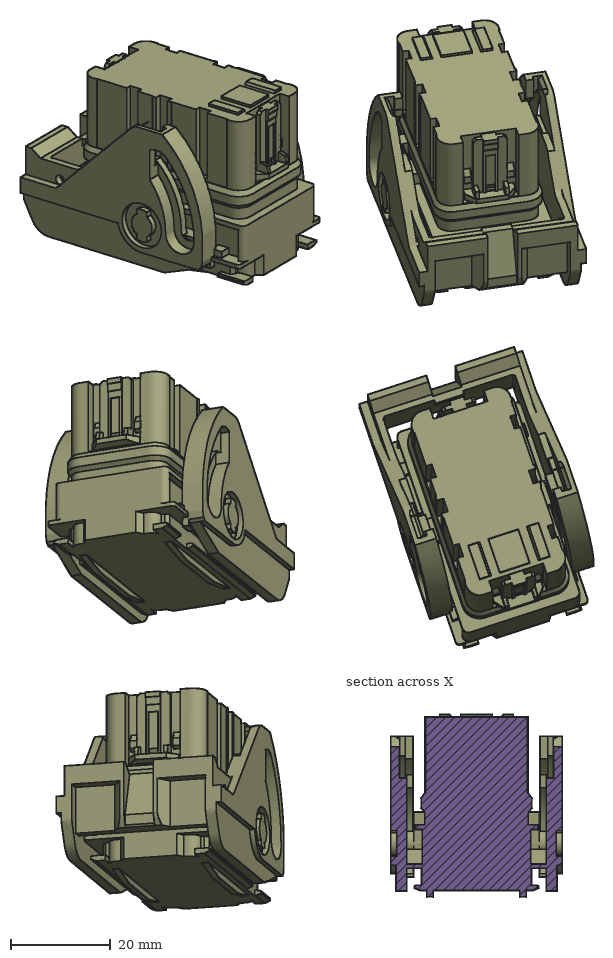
import cadquery as cq
import math


length = 51.75
total_width = 34.4
half_width = total_width / 2
height = 36.6

base_left = 8.3
base_mid_x = (base_left + length) / 2
base_length = length - base_left
base_half_width = 12.3
base_corner = 1.25
base_top = 14.55
rim_depth = 1.05
wall_recess_depth = 1.45
wall_recess_margin = 1.45
ledge_half_width = 13.9
ledge_top = 6.7
ledge_bottom = 5.8
ledge_corner = 0.8
guard_span = 33.75
guard_length = 2.5
guard_half_width = 13.2
guard_top = 8.05
cheek_inner_y = 10.35
cheek_left = 26.35
cheek_right = 41.4
cheek_slope = 0.9
cheek_top = 9.6
skirt_length = 40.55
skirt_half_width = 9.5
skirt_corner = 2.1
skirt_side_length = 36.35
skirt_side_half_width = 11.0
skirt_side_chamfer = 0.8
skirt_end_root_half_width = 6.55
skirt_end_half_width = 5.55
skirt_bottom = 1.35
lip_half_width = 12.4
lip_root_y = 9.3
lip_foot_y = 11.3
lip_tip_bottom = 1.8
lip_tip_top = 2.2
lip_tip_bevel = 0.35
lip_top = 2.45
lip_gap_left = 39.1
lip_gap_right = 45.2
rib_inner_y = 8.65
rib_thickness = 1.35
rib_top = 1.25
rib_span = 28.7
rib_flat = 13.7
stop_length = 4.95
stop_half_width = 12.6
stop_top = 17.1

housing_length = 39.65
housing_half_width = 10.4
housing_corner = 2.85
housing_bottom = 20.85
housing_top = 36.05
housing_left = base_mid_x - housing_length / 2
side_relief = 0.18
relief_inner = 2.35
relief_outer = 16.05
collar_overhang = 0.7
collar_top = 19.8
collar_bottom = 17.85
neck_top = 16.95
groove_floor = 21.5
groove_depth = 1.4
groove_width = 2.7
center_groove_width = 2.8
front_groove_centers = (22.55, 39.75)
back_groove_centers = (18.2, 41.9)

pad_left = 39.45
pad_length = 7.25
pad_half_width = 3.15
side_pad_inner = 4.95
side_pad_outer = 7.4
pad_bevel = 0.4

pocket_half_width = 5.7
pocket_depth = 2.3
pocket_floor = 21.05
tongue_half_width = 3.45
tongue_front = 10.7
tongue_thickness = 0.95
tongue_top = 35.85
tongue_corner = 0.6
spine_half_width = 1.5
spine_front = 10.0
spine_bottom = 22.75
spine_slot_half_width = 1.0
spine_slot_top = 31.85
spine_undercut_depth = 0.8
spine_undercut_bottom = 23.05
spine_undercut_top = 24.3
spine_step_levels = (33.3, 34.85)
spine_step = 0.2
cradle_front = 8.6
cradle_post_front = 8.95
cradle_post_inner = 2.7
cradle_floor = 22.75
cradle_shoulder = 24.3
cradle_top = 24.7
cradle_root_x = 10.9
cradle_root_half_width = 5.2
cradle_nose_half_width = 3.25
cradle_underside = 21.35
cradle_nose_bottom = 21.75
bracket_inner = 3.75
bracket_outer = 5.2
bracket_front = 11.55
bracket_top = 27.8
bracket_shoulder = 26.4
bracket_chin = 24.85
bracket_bottom = 24.3

bar_depth = 4.95
bar_bottom = 5.9
bar_rim_top = 19.25
bar_rim_depth = 1.4
bar_top = 17.65
bar_slope_end = 3.75
finger_outer = 13.95
finger_wall = 5.75
finger_mouth = 3.9
finger_depth = 2.85
finger_top = 15.35
notch_half_width = 3.05
notch_toe_x = 0.8
notch_toe_top = 8.5
notch_toe_bottom = 6.35
notch_crest_x = 4.15
tab_reach = 5.7
tab_thickness = 1.55
bar_heel_x = 1.05
bar_corner = 0.4

plate_inner_y = 13.9
channel_outer_y = 15.35
arm_wall_outer_y = 15.45
lower_plate_outer_y = 16.15
guide_inner_y = 12.7
guide_ledge_y = 14.3
arm_top = 13.1
arm_bottom = 9.6
lever_top = 32.25
lever_right = 45.0
lever_bottom = 4.7
pivot_x = base_mid_x
pivot_z = 10.7
pivot_recess_diameter = 9.7
pivot_recess_depth = 1.25
pivot_pin_diameter = 5.05
pivot_key_width = 2.55
pivot_key_length = 7.05
pivot_skirt_radius = 6.0
peg_hole_diameter = 2.0
peg_hole_x = 8.5
peg_hole_z = 14.2
channel_left = 25.0
channel_floor = 23.9
channel_right = 33.95
channel_bevel = 0.85
channel_bevel_left = 27.95

ramp_foot_start = (8.45, arm_top)
ramp_foot_mid = (8.85, 13.25)
ramp_foot_end = (9.15, 13.5)
crest_start = (27.15, 31.4)
crest_mid = (28.15, 32.05)
crest_end = (29.35, lever_top)
nose_start = (35.1, lever_top)
nose_mid = (40.95, 25.45)
nose_end = (lever_right, 12.7)
nose_bottom = (lever_right, ledge_top)
toe_corner = (44.6, 5.3)
toe_end = (44.0, lever_bottom)

chin_start = (0, 8.35)
chin_mid = (0.1, 7.8)
chin_end = (0.3, 7.3)
heel_start = (2.15, 3.8)
heel_mid = (3.8, 2.0)
heel_end = (6.2, rib_top)
sole_end = (34.9, rib_top)

wall_round_start = (11.95, bar_top)
wall_round_mid = (13.3, 17.9)
wall_round_end = (14.45, 18.7)

slot_center_x = 19.25
slot_center_z = 10.65
slot_radius = 20.2
slot_half_width = 1.75
slot_recess_half_width = 3.5
slot_end_angle = 44.6
through_end_angle = 60.0
slot_left = 32.0
guide_rim_radius = 14.35
guide_left = 28.1
guide_hook_left = 33.0
guide_floor = 24.55
shelf_left = 19.65
shelf_round_mid = (20.35, 24.4)
shelf_round_end = 21.1
foot_left = 41.4
foot_right = 44.6
foot_inner_y = 12.5
foot_bottom = 4.05


def box(x0, x1, y0, y1, z0, z1):
    """Block between two corners."""
    return cq.Workplane("XY").box(x1 - x0, y1 - y0, z1 - z0, centered=False).translate((x0, y0, z0))


def rounded_block(size_x, half_y, corner, z0, z1):
    """Block centred on the base with rounded vertical edges."""
    block = box(base_mid_x - size_x / 2, base_mid_x + size_x / 2, -half_y, half_y, z0, z1)
    return block.edges("|Z").fillet(corner)


def side_plane(outer_y):
    """X-Z sketch plane at outer_y; extruding goes toward -Y."""
    return cq.Workplane("XZ", origin=(0, outer_y, 0))


def side_prism(points, y0, y1):
    """Polygon in X-Z filling y0 to y1."""
    return side_plane(y1).polyline(points).close().extrude(y1 - y0)


def side_disc(x, z, diameter, y0, y1):
    return side_plane(y1).center(x, z).circle(diameter / 2).extrude(y1 - y0)


def both_sides(solid):
    """The solid together with its mirror image across Y = 0."""
    return solid.union(solid.mirror("XZ"))


def both_ends(solid):
    """The solid together with its mirror image across the middle of the base."""
    return solid.union(solid.mirror("YZ", (base_mid_x, 0, 0)))


def make_skirt():
    skirt = rounded_block(skirt_length, skirt_half_width, skirt_corner, skirt_bottom, ledge_top)
    side_left = base_mid_x - skirt_side_length / 2
    side_right = base_mid_x + skirt_side_length / 2
    sides = box(
        side_left, side_right, -skirt_side_half_width, skirt_side_half_width, skirt_bottom, ledge_top
    )
    end_plan = [
        (base_mid_x, -skirt_end_root_half_width),
        (base_mid_x + skirt_length / 2, -skirt_end_root_half_width),
        (length, -skirt_end_half_width),
        (length, skirt_end_half_width),
        (base_mid_x + skirt_length / 2, skirt_end_root_half_width),
        (base_mid_x, skirt_end_root_half_width),
    ]
    end = cq.Workplane("XY", origin=(0, 0, skirt_bottom)).polyline(end_plan).close()
    end = end.extrude(ledge_top - skirt_bottom)
    return skirt.union(sides.edges("|Z").chamfer(skirt_side_chamfer)).union(both_ends(end))


def make_lip():
    """Flared strip along the foot of the skirt, interrupted by one gap."""
    outline = [
        (lip_root_y, skirt_bottom),
        (lip_foot_y, skirt_bottom),
        (lip_half_width, lip_tip_bottom),
        (lip_half_width, lip_tip_top),
        (lip_half_width - lip_tip_bevel, lip_top),
        (lip_root_y, lip_top),
    ]
    lip = cq.Workplane("YZ", origin=(base_left, 0, 0)).polyline(outline).close().extrude(base_length)
    gap = box(lip_gap_left, lip_gap_right, skirt_side_half_width, lip_half_width, skirt_bottom, lip_top)
    return lip.cut(gap)


def make_cheek():
    """Low pad beside the pivot with a sloped left end."""
    outline = [
        (cheek_left, ledge_top),
        (cheek_left + cheek_slope, cheek_top),
        (cheek_right, cheek_top),
        (cheek_right, ledge_bottom),
        (cheek_left, ledge_bottom),
    ]
    return side_prism(outline, cheek_inner_y, ledge_half_width)


def make_bottom_rib():
    outline = [
        (base_mid_x - rib_span / 2, rib_top),
        (base_mid_x - rib_flat / 2, 0),
        (base_mid_x + rib_flat / 2, 0),
        (base_mid_x + rib_span / 2, rib_top),
        (base_mid_x + rib_span / 2, lip_top),
        (base_mid_x - rib_span / 2, lip_top),
    ]
    return side_prism(outline, rib_inner_y, rib_inner_y + rib_thickness)


def make_base():
    base = rounded_block(base_length, base_half_width, base_corner, ledge_bottom, base_top)
    wall_recess = box(
        base_left + wall_recess_margin,
        length - wall_recess_margin,
        base_half_width - wall_recess_depth,
        base_half_width,
        ledge_top,
        base_top - rim_depth,
    )
    base = base.cut(both_sides(wall_recess))
    base = base.union(rounded_block(base_length, ledge_half_width, ledge_corner, ledge_bottom, ledge_top))
    guard_left = base_mid_x - guard_span / 2
    guard = box(
        guard_left, guard_left + guard_length, -guard_half_width, guard_half_width, ledge_bottom, guard_top
    )
    base = base.union(both_ends(guard))
    stop_left = base_mid_x - stop_length / 2
    stop_right = base_mid_x + stop_length / 2
    base = base.union(box(stop_left, stop_right, -stop_half_width, stop_half_width, ledge_top, stop_top))
    flank = make_bottom_rib().union(make_lip()).union(make_cheek())
    return base.union(make_skirt()).union(both_sides(flank))


def make_collar():
    collar_length = housing_length + 2 * collar_overhang
    collar_half_width = housing_half_width + collar_overhang
    collar_corner = housing_corner + collar_overhang
    collar = rounded_block(collar_length, collar_half_width, collar_corner, neck_top, housing_bottom)
    collar = collar.faces(">Z").chamfer(housing_bottom - collar_top, collar_overhang)
    return collar.faces("<Z").chamfer(collar_bottom - neck_top, collar_overhang)


def groove(center_x, width, side):
    """Vertical channel in one long side, open at the top; side is +1 for +Y and -1 for -Y."""
    floor_y = side * (housing_half_width - groove_depth)
    outer_y = side * housing_half_width
    left = center_x - width / 2
    return box(left, left + width, min(floor_y, outer_y), max(floor_y, outer_y), groove_floor, housing_top)


def make_pads():
    right = pad_left + pad_length
    pads = box(pad_left, right, -pad_half_width, pad_half_width, housing_top, height)
    side_outline = [
        (side_pad_inner, housing_top),
        (side_pad_inner + pad_bevel, height),
        (side_pad_outer, height),
        (side_pad_outer, housing_top),
    ]
    side_pad = cq.Workplane("YZ", origin=(pad_left, 0, 0)).polyline(side_outline).close().extrude(pad_length)
    return pads.union(both_sides(side_pad))


def make_tongue():
    pocket_wall = housing_left + pocket_depth
    tongue = box(
        tongue_front,
        tongue_front + tongue_thickness,
        -tongue_half_width,
        tongue_half_width,
        pocket_floor,
        tongue_top,
    )
    tongue = tongue.faces(">Z").edges("|X").chamfer(tongue_corner)
    tongue = tongue.union(
        box(tongue_front, pocket_wall, -spine_half_width, spine_half_width, pocket_floor, tongue_top)
    )
    spine = box(spine_front, tongue_front, -spine_half_width, spine_half_width, spine_bottom, tongue_top)
    for index, level in enumerate(reversed(spine_step_levels), start=1):
        step_back = spine_front + index * spine_step
        spine = spine.cut(
            box(spine_front, step_back, -spine_half_width, spine_half_width, spine_bottom, level)
        )
    spine = spine.cut(
        box(
            spine_front,
            tongue_front,
            -spine_slot_half_width,
            spine_slot_half_width,
            spine_bottom,
            spine_slot_top,
        )
    )
    undercut_outline = [
        (tongue_front, spine_undercut_top),
        (tongue_front + spine_undercut_depth, spine_undercut_bottom),
        (tongue_front, spine_undercut_bottom),
    ]
    undercut = side_prism(undercut_outline, -spine_slot_half_width, spine_slot_half_width)
    return tongue.union(spine).cut(undercut)


def make_cradle():
    """Nose with two upright posts that holds the foot of the tongue."""
    pocket_wall = housing_left + pocket_depth
    floor_outline = [
        (cradle_front, cradle_nose_bottom),
        (housing_left, cradle_underside),
        (pocket_wall, cradle_underside),
        (pocket_wall, cradle_floor),
        (cradle_front, cradle_floor),
    ]
    plan = [
        (cradle_front, -cradle_nose_half_width),
        (cradle_root_x, -cradle_root_half_width),
        (pocket_wall, -cradle_root_half_width),
        (pocket_wall, cradle_root_half_width),
        (cradle_root_x, cradle_root_half_width),
        (cradle_front, cradle_nose_half_width),
    ]
    cradle = side_prism(floor_outline, -cradle_root_half_width, cradle_root_half_width)
    post_outline = [
        (cradle_front, cradle_nose_bottom),
        (cradle_post_front, cradle_shoulder),
        (housing_left, cradle_top),
        (tongue_front, cradle_top),
        (tongue_front, cradle_nose_bottom),
    ]
    cradle = cradle.union(both_sides(side_prism(post_outline, cradle_post_inner, tongue_half_width)))
    plan_column = cq.Workplane("XY").polyline(plan).close().extrude(height)
    return cradle.intersect(plan_column)


def make_bracket():
    pocket_wall = housing_left + pocket_depth
    outline = [
        (bracket_front, bracket_chin),
        (bracket_front, bracket_shoulder),
        (pocket_wall, bracket_top),
        (pocket_wall, bracket_bottom),
    ]
    return side_prism(outline, bracket_inner, bracket_outer)


def make_housing():
    housing = rounded_block(housing_length, housing_half_width, housing_corner, housing_bottom, housing_top)
    relief = box(
        base_mid_x + relief_inner,
        base_mid_x + relief_outer,
        housing_half_width - side_relief,
        housing_half_width,
        housing_bottom,
        housing_top,
    )
    housing = housing.cut(both_ends(both_sides(relief)))
    for center_x in front_groove_centers:
        housing = housing.cut(groove(center_x, groove_width, -1))
    for center_x in back_groove_centers:
        housing = housing.cut(groove(center_x, groove_width, 1))
    housing = housing.cut(both_sides(groove(base_mid_x, center_groove_width, 1)))
    pocket = box(
        housing_left,
        housing_left + pocket_depth,
        -pocket_half_width,
        pocket_half_width,
        pocket_floor,
        housing_top,
    )
    housing = housing.cut(both_ends(pocket))
    neck = rounded_block(housing_length, housing_half_width, housing_corner, base_top, housing_bottom)
    housing = housing.union(neck).union(make_collar()).union(make_pads())
    latch = make_tongue().union(make_cradle()).union(both_sides(make_bracket()))
    return housing.union(both_ends(latch))


def upper_plate(y0, y1):
    """Main lever outline: arm, ramp, flat top, arc-shaped nose and the round skirt below the pivot."""
    skirt_start_x = pivot_x - math.sqrt(pivot_skirt_radius**2 - (pivot_z - arm_bottom) ** 2)
    skirt_mid = pivot_skirt_radius * math.sqrt(0.5)
    outline = (
        side_plane(y1)
        .moveTo(0, arm_bottom)
        .lineTo(0, arm_top)
        .lineTo(*ramp_foot_start)
        .threePointArc(ramp_foot_mid, ramp_foot_end)
        .lineTo(*crest_start)
        .threePointArc(crest_mid, crest_end)
        .lineTo(*nose_start)
        .threePointArc(nose_mid, nose_end)
        .lineTo(*nose_bottom)
        .lineTo(*toe_corner)
        .lineTo(*toe_end)
        .lineTo(pivot_x, lever_bottom)
        .threePointArc((pivot_x - skirt_mid, pivot_z - skirt_mid), (skirt_start_x, arm_bottom))
        .close()
    )
    return outline.extrude(y1 - y0)


def lower_plate():
    """Thinner plate below the arm with a rounded heel and a sloped toe."""
    outline = (
        side_plane(lower_plate_outer_y)
        .moveTo(0, arm_bottom)
        .lineTo(*chin_start)
        .threePointArc(chin_mid, chin_end)
        .lineTo(*heel_start)
        .threePointArc(heel_mid, heel_end)
        .lineTo(*sole_end)
        .lineTo(*toe_end)
        .lineTo(toe_end[0], arm_bottom)
        .close()
    )
    return outline.extrude(lower_plate_outer_y - plate_inner_y)


def arm_wall():
    """Upright wall on the arm that meets the ramp in a soft corner."""
    outline = (
        side_plane(arm_wall_outer_y)
        .moveTo(0, arm_bottom)
        .lineTo(0, bar_rim_top)
        .lineTo(bar_rim_depth, bar_rim_top)
        .lineTo(bar_slope_end, bar_top)
        .lineTo(*wall_round_start)
        .threePointArc(wall_round_mid, wall_round_end)
        .lineTo(wall_round_end[0], arm_bottom)
        .close()
    )
    wall = outline.extrude(arm_wall_outer_y - plate_inner_y)
    return wall.cut(side_disc(peg_hole_x, peg_hole_z, peg_hole_diameter, plate_inner_y, arm_wall_outer_y))


def slot_band(band_half_width, end_angle, y0, y1):
    """Arc-shaped slot from the horizontal up to end_angle, rounded at both ends."""

    def on_arc(radius, angle):
        turn = math.radians(angle)
        return slot_center_x + radius * math.cos(turn), slot_center_z + radius * math.sin(turn)

    inner = slot_radius - band_half_width
    outer = slot_radius + band_half_width
    beyond_end = math.degrees(band_half_width / slot_radius)
    band = (
        side_plane(y1)
        .moveTo(*on_arc(outer, 0))
        .threePointArc(on_arc(outer, end_angle / 2), on_arc(outer, end_angle))
        .threePointArc(on_arc(slot_radius, end_angle + beyond_end), on_arc(inner, end_angle))
        .threePointArc(on_arc(inner, end_angle / 2), on_arc(inner, 0))
        .threePointArc((slot_center_x + slot_radius, slot_center_z - band_half_width), on_arc(outer, 0))
        .close()
    )
    return band.extrude(y1 - y0)


def guide_rail():
    """Thickening on the inner face that carries the guide slot and hooks over at the top."""
    rail = upper_plate(guide_inner_y, plate_inner_y)
    rail = rail.cut(
        side_disc(slot_center_x, slot_center_z, 2 * guide_rim_radius, guide_inner_y, plate_inner_y)
    )
    rail = rail.intersect(
        box(guide_left, lever_right, guide_inner_y, plate_inner_y, lever_bottom, lever_top)
    )
    foot = box(foot_left, foot_right, foot_inner_y, plate_inner_y, foot_bottom, ledge_top)
    return rail.union(foot)


def cut_guide_slot(lever):
    recess = slot_band(slot_recess_half_width, slot_end_angle, guide_ledge_y, half_width)
    recess = recess.intersect(box(slot_left, length, 0, half_width, 0, height))
    through = slot_band(slot_half_width, through_end_angle, guide_inner_y, guide_ledge_y)
    through = through.intersect(box(guide_left, length, 0, half_width, 0, height))
    return lever.cut(recess).cut(through)


def cut_channel(lever):
    """Open channel behind the top of the outer plate, entering the guide slot from the left."""
    channel = box(channel_left, channel_right, guide_ledge_y, channel_outer_y, channel_floor, lever_top)
    above_shelf = (
        side_plane(channel_outer_y)
        .moveTo(shelf_left, channel_floor)
        .threePointArc(shelf_round_mid, (shelf_round_end, guide_floor))
        .lineTo(guide_hook_left, guide_floor)
        .lineTo(guide_hook_left, lever_top)
        .lineTo(0, lever_top)
        .lineTo(0, channel_floor)
        .close()
        .extrude(channel_outer_y - guide_inner_y)
    )
    bevel_outline = [
        (channel_outer_y, lever_top),
        (channel_outer_y + channel_bevel, lever_top),
        (channel_outer_y, lever_top - channel_bevel),
    ]
    bevel = (
        cq.Workplane("YZ", origin=(channel_bevel_left, 0, 0))
        .polyline(bevel_outline)
        .close()
        .extrude(channel_right - channel_bevel_left)
    )
    return lever.cut(channel).cut(above_shelf).cut(bevel)


def add_pivot(lever):
    """Round recess around a keyed pin that reaches inward to the base."""
    floor_y = half_width - pivot_recess_depth
    lever = lever.cut(side_disc(pivot_x, pivot_z, pivot_recess_diameter, floor_y, half_width))
    pin = side_disc(pivot_x, pivot_z, pivot_pin_diameter, base_half_width - wall_recess_depth, half_width)
    key_disc = side_disc(pivot_x, pivot_z, pivot_key_length, floor_y, half_width)
    key = key_disc.intersect(
        box(pivot_x - pivot_key_width / 2, pivot_x + pivot_key_width / 2, floor_y, half_width, 0, height)
    )
    return lever.union(pin).union(key)


def make_lever_side():
    lever = upper_plate(plate_inner_y, half_width).union(lower_plate()).union(guide_rail())
    lever = cut_channel(cut_guide_slot(lever))
    return add_pivot(lever.union(arm_wall()))


def finger_pocket():
    """Pocket in the front of the crossbar, open below, with a slanted wall toward the middle."""
    plan = [
        (0, finger_outer),
        (0, finger_mouth),
        (finger_depth, finger_wall),
        (finger_depth, finger_outer),
    ]
    pocket = cq.Workplane("XY", origin=(0, 0, bar_bottom)).polyline(plan).close()
    return pocket.extrude(finger_top - bar_bottom)


def make_crossbar():
    outline = [
        chin_end,
        chin_start,
        (0, bar_rim_top),
        (bar_rim_depth, bar_rim_top),
        (bar_slope_end, bar_top),
        (bar_depth, bar_top),
        (bar_depth, bar_bottom),
        (bar_heel_x, bar_bottom),
    ]
    bar = side_prism(outline, -plate_inner_y, plate_inner_y)
    bar = bar.cut(both_sides(finger_pocket()))
    bar = bar.cut(box(0, bar_depth, -notch_half_width, notch_half_width, bar_bottom, bar_rim_top))
    ramp = [
        (notch_toe_x, notch_toe_bottom),
        (notch_toe_x, notch_toe_top),
        (notch_crest_x, bar_top),
        (tab_reach, bar_top),
        (tab_reach, bar_top - tab_thickness),
        (bar_depth, bar_top - tab_thickness),
        (bar_depth, bar_bottom),
        (bar_heel_x, bar_bottom),
    ]
    corner_plan = [
        (bar_depth, plate_inner_y),
        (bar_depth + bar_corner, plate_inner_y),
        (bar_depth, plate_inner_y - bar_corner),
    ]
    corner = cq.Workplane("XY", origin=(0, 0, bar_bottom)).polyline(corner_plan).close()
    corner = corner.extrude(bar_top - bar_bottom)
    return bar.union(side_prism(ramp, -notch_half_width, notch_half_width)).union(both_sides(corner))


result = (
    make_base()
    .union(make_housing())
    .union(both_sides(make_lever_side()))
    .union(make_crossbar())
)